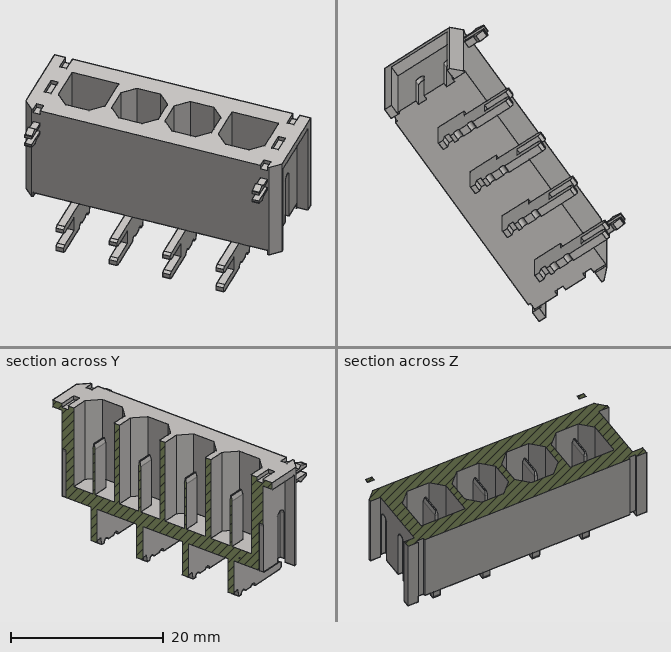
import cadquery as cq

length = 36.07
depth = 11.6
top_z = 19.8
body_bottom_z = 5.75
foot_bottom_z = 5.05
foot_width = 1.55
front_foot_depth = 1.7
rear_foot_depth = 1.35
corner_chamfer = 1.3

recess_depth = 1.5
recess_front_y = 1.7
recess_rear_y = 10.55
recess_top_wall = 1.1

groove_width = 1.3
groove_depth = 0.6
groove_height = 7.57
groove_centers_y = (2.6, 7.05)

contact_count = 4
contact_pitch = 7.5
contact_y = 5.75
cavity_size = 6.55
cavity_chamfer = 1.62
cavity_depth = 11.9

slot_inset = 1.55
slot_width = 0.97
slot_depth = 0.58
front_slot_end_y = 1.23
middle_slot_y = (3.93, 6.45)
rear_slot_start_y = 9.52
rear_channel_depth = 0.32

clip_center_z = top_z - 2.95
clip_gap = 0.97
clip_thickness = 0.4
clip_length = 3.03
barb_start = 1.37
barb_peak = 1.8
barb_end = 2.9
barb_height = 0.4

latch_base_width = 11.07
latch_tip_width = 10.82
latch_reach = 1.8
latch_top_z = top_z - 0.25
latch_nose_top_z = top_z - 2.3
latch_nose_bottom_z = top_z - 3.8
latch_bottom_z = top_z - 3.45

pin_width = 1.1
pin_front_y = 3.25
pin_rear_y = 7.4
prong_length = 3.8
upper_prong_z = (3.2, 4.22)
lower_prong_top_z = 1.12
tip_length = 0.47
tip_bevel = 0.2
pin_heel_width = 0.1
pin_heel_height = 0.35
notch_bottom_y = (5.5, 6.6)
notch_top_y = (5.7, 6.35)
notch_height = 1.1
scallop_centers_y = (2.38, 4.47)
scallop_half_width = 0.45
scallop_height = 0.55
scallop_land_z = 0.2
blade_thickness = 0.45
blade_width = 3.15
blade_tip_thickness = 0.18
blade_tip_width = 2.85
blade_taper = 0.72
blade_top_z = top_z - 4.33

half_length = length / 2
contact_xs = [contact_pitch * (i - (contact_count - 1) / 2) for i in range(contact_count)]


def box(x_range, y_range, z_range):
    """Axis-aligned block between the given limits."""
    sizes = [limits[1] - limits[0] for limits in (x_range, y_range, z_range)]
    corner = (x_range[0], y_range[0], z_range[0])
    return cq.Workplane("XY").box(*sizes, centered=False).translate(corner)


def both_ends(left_shape):
    """The given shape at the -X end together with its mirror image at the +X end."""
    return left_shape.union(left_shape.mirror("YZ"))


def extrude_along_x(profile, x_start, width):
    """Solid of a closed YZ profile, starting at x_start."""
    return profile.extrude(width).translate((x_start, 0, 0))


def make_shell():
    """Block with feet at both ends and beveled front corners."""
    body = box((-half_length, half_length), (0, depth), (body_bottom_z, top_z))
    foot_x = (-half_length, -half_length + foot_width)
    foot_z = (foot_bottom_z, body_bottom_z)
    feet = box(foot_x, (0, front_foot_depth), foot_z)
    feet = feet.union(box(foot_x, (depth - rear_foot_depth, depth), foot_z))
    corner = (
        cq.Workplane("XY")
        .polyline([
            (-half_length, 0),
            (-half_length + corner_chamfer, 0),
            (-half_length, corner_chamfer),
        ])
        .close()
        .extrude(top_z)
    )
    return body.union(both_ends(feet)).cut(both_ends(corner))


def make_end_recess():
    """Recess in the -X end wall, with the two grooves in its floor."""
    recess = box(
        (-half_length, -half_length + recess_depth),
        (recess_front_y, recess_rear_y),
        (foot_bottom_z, top_z - recess_top_wall),
    )
    radius = groove_width / 2
    arc_z = body_bottom_z + groove_height - radius
    for center_y in groove_centers_y:
        groove = (
            cq.Workplane("YZ")
            .moveTo(center_y - radius, body_bottom_z)
            .lineTo(center_y - radius, arc_z)
            .threePointArc((center_y, arc_z + radius), (center_y + radius, arc_z))
            .lineTo(center_y + radius, body_bottom_z)
            .close()
        )
        recess = recess.union(extrude_along_x(groove, -half_length, recess_depth + groove_depth))
    return recess


def make_clip_slots():
    """Three slots in the top face and the rear channel, all at the -X end."""
    slot_x = (-half_length + slot_inset, -half_length + slot_inset + slot_width)
    slot_z = (top_z - slot_depth, top_z)
    slots = box(slot_x, (depth - rear_channel_depth, depth), (foot_bottom_z, top_z))
    for slot_y in ((0, front_slot_end_y), middle_slot_y, (rear_slot_start_y, depth)):
        slots = slots.union(box(slot_x, slot_y, slot_z))
    return slots


def make_cavity(center_x, is_end):
    """Octagonal cavity; the two end cavities keep square rear corners."""
    half = cavity_size / 2
    cavity = box(
        (center_x - half, center_x + half),
        (contact_y - half, contact_y + half),
        (top_z - cavity_depth, top_z),
    )
    beveled_side = cavity.faces("<Y") if is_end else cavity
    return beveled_side.edges("|Z").chamfer(cavity_chamfer)


def make_clip():
    """Two barbed prongs at the -X end, mirrored about the clip center height."""
    inner = clip_gap / 2
    outer = inner + clip_thickness
    upper = (
        cq.Workplane("YZ")
        .polyline([
            (front_slot_end_y, inner),
            (front_slot_end_y, outer),
            (-barb_start, outer),
            (-barb_peak, outer + barb_height),
            (-barb_end, outer),
            (-clip_length, outer),
            (-clip_length, inner),
        ])
        .close()
    )
    prong = extrude_along_x(upper, -half_length + slot_inset, slot_width)
    return prong.union(prong.mirror("XY")).translate((0, 0, clip_center_z))


def make_latch():
    """Rear ramp whose sides converge toward the nose."""
    nose_y = depth + latch_reach
    profile = (
        cq.Workplane("YZ")
        .polyline([
            (depth, latch_top_z),
            (nose_y, latch_nose_top_z),
            (nose_y, latch_nose_bottom_z),
            (depth, latch_bottom_z),
        ])
        .close()
    )
    plan = (
        cq.Workplane("XY")
        .polyline([
            (-latch_base_width / 2, depth),
            (-latch_tip_width / 2, nose_y),
            (latch_tip_width / 2, nose_y),
            (latch_base_width / 2, depth),
        ])
        .close()
        .extrude(top_z)
    )
    return extrude_along_x(profile, -latch_base_width / 2, latch_base_width).intersect(plan)


def prong_tip(bottom_z, upper_z):
    """Points of a beveled prong end, from its lower edge to its upper edge."""
    return [
        (-prong_length + tip_length, bottom_z),
        (-prong_length, bottom_z + tip_bevel),
        (-prong_length, upper_z - tip_bevel),
        (-prong_length + tip_length, upper_z),
    ]


def make_plate():
    """Forked plate centered on X = 0, below the housing."""
    near_scallop, far_scallop = scallop_centers_y
    outline = [(pin_front_y, body_bottom_z), (pin_front_y, upper_prong_z[1])]
    outline += reversed(prong_tip(*upper_prong_z))
    outline += [(0, upper_prong_z[0]), (0, lower_prong_top_z)]
    outline += reversed(prong_tip(0, lower_prong_top_z))
    outline.append((near_scallop - scallop_half_width, 0))
    profile = (
        cq.Workplane("YZ")
        .polyline(outline)
        .threePointArc((near_scallop, scallop_height), (near_scallop + scallop_half_width, scallop_land_z))
        .lineTo(far_scallop - scallop_half_width, scallop_land_z)
        .threePointArc((far_scallop, scallop_height), (far_scallop + scallop_half_width, 0))
        .lineTo(notch_bottom_y[0], 0)
        .lineTo(notch_top_y[0], notch_height)
        .lineTo(notch_top_y[1], notch_height)
        .lineTo(notch_bottom_y[1], 0)
        .lineTo(pin_rear_y - pin_heel_width, 0)
        .lineTo(pin_rear_y, pin_heel_height)
        .lineTo(pin_rear_y, body_bottom_z)
        .close()
    )
    return extrude_along_x(profile, -pin_width / 2, pin_width)


def make_blade():
    """Blade centered on X = 0, standing on the cavity floor and tapered at its top."""
    shoulder_z = blade_top_z - blade_taper
    cavity_floor_z = top_z - cavity_depth
    blade = (
        cq.Workplane("XY", origin=(0, contact_y, cavity_floor_z))
        .rect(blade_thickness, blade_width)
        .extrude(shoulder_z - cavity_floor_z)
    )
    tip = (
        cq.Workplane("XY", origin=(0, contact_y, shoulder_z))
        .rect(blade_thickness, blade_width)
        .workplane(offset=blade_taper)
        .rect(blade_tip_thickness, blade_tip_width)
        .loft()
    )
    return blade.union(tip)


result = make_shell().cut(both_ends(make_end_recess())).cut(both_ends(make_clip_slots()))
plate = make_plate()
blade = make_blade()
for index, contact_x in enumerate(contact_xs):
    result = result.cut(make_cavity(contact_x, index in (0, contact_count - 1)))
    result = result.union(plate.translate((contact_x, 0, 0)))
    result = result.union(blade.translate((contact_x, 0, 0)))
result = result.union(make_latch()).union(both_ends(make_clip()))